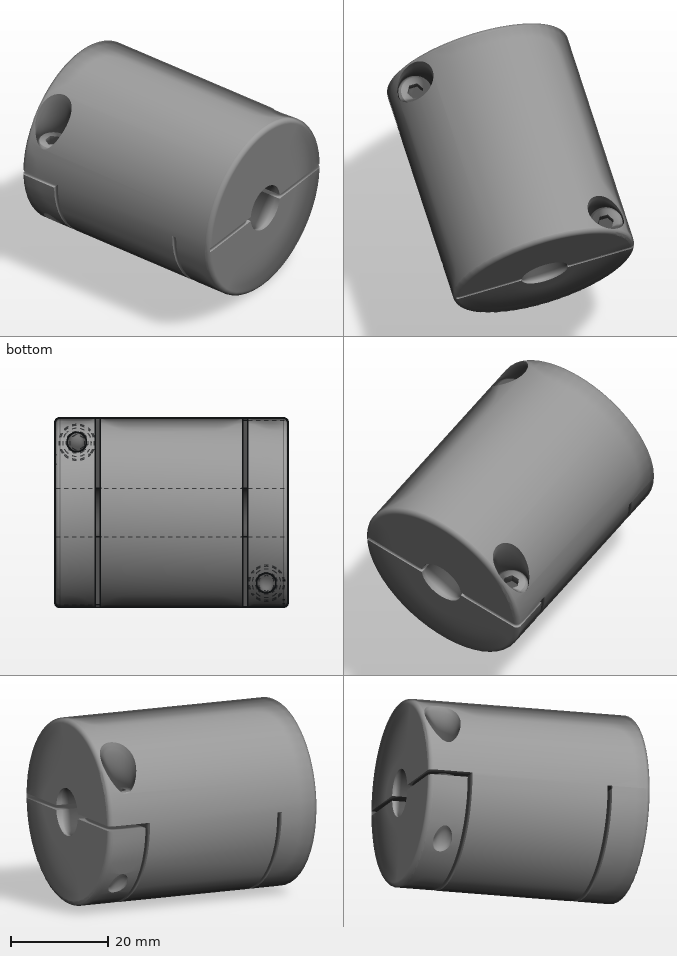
import cadquery as cq


LENGTH = 48.0
OUTER_DIAMETER = 39.0
BORE_DIAMETER = 10.0
END_FILLET = 1.0

SLOT_WIDTH = 1.0
RELIEF_END = 9.35
HINGE_WALL = 0.55

SCREW_FROM_END = 4.5
SCREW_OFFSET = 14.5
THREAD_DIAMETER = 4.0
HEAD_DIAMETER = 7.0
HEAD_HEIGHT = 4.0
HEAD_SEAT_Z = 3.0
HEAD_CHAMFER = 0.6
SHANK_LENGTH = 12.0
HEX_ACROSS_FLATS = 3.0
HEX_DEPTH = 2.0

CLEARANCE_DIAMETER = 4.5
COUNTERBORE_DIAMETER = 7.5

OUTER_RADIUS = OUTER_DIAMETER / 2
HALF_LENGTH = LENGTH / 2
END_ROTATIONS = (0, 180)
HEX_CIRCLE_DIAMETER = HEX_ACROSS_FLATS * 2 / 3 ** 0.5

SCREW_X = SCREW_FROM_END - HALF_LENGTH
SCREW_Y = -SCREW_OFFSET


def turned(shape, angle):
    """Turn a feature of the -X end about Z to place it at its own end."""
    return shape.rotate((0, 0, 0), (0, 0, 1), angle)


def screw_cylinder(diameter, bottom, height):
    """Cylinder on the screw axis, rising from the given Z."""
    return (
        cq.Workplane("XY", origin=(SCREW_X, SCREW_Y, bottom))
        .circle(diameter / 2)
        .extrude(height)
    )


def box_between(low, high):
    """Box given by two opposite corners."""
    size = [b - a for a, b in zip(low, high)]
    return cq.Workplane("XY").box(*size, centered=False).translate(low)


def clamp_slot():
    """Horizontal slot at the axis, open toward -Y and closed by the hinge wall at +Y."""
    return box_between(
        (-HALF_LENGTH, -OUTER_RADIUS, -SLOT_WIDTH / 2),
        (RELIEF_END - HALF_LENGTH, OUTER_RADIUS - HINGE_WALL, SLOT_WIDTH / 2),
    )


def relief_cut():
    """Cross cut through the lower half that frees the clamp from the rest of the body."""
    cut_end = RELIEF_END - HALF_LENGTH
    return box_between(
        (cut_end - SLOT_WIDTH, -OUTER_RADIUS, -OUTER_RADIUS),
        (cut_end, OUTER_RADIUS, 0),
    )


def screw_hole():
    """Counterbore and clearance hole above the slot, thread hole through the lower half."""
    thread_hole = screw_cylinder(THREAD_DIAMETER, -OUTER_RADIUS, OUTER_RADIUS)
    clearance_hole = screw_cylinder(CLEARANCE_DIAMETER, 0, HEAD_SEAT_Z)
    counterbore = screw_cylinder(COUNTERBORE_DIAMETER, HEAD_SEAT_Z, OUTER_RADIUS)
    return thread_hole.union(clearance_hole).union(counterbore)


def make_coupling():
    """Round body with a through bore and a clamp at each end."""
    end_plane = cq.Workplane("YZ", origin=(-HALF_LENGTH, 0, 0))
    cylinder = end_plane.circle(OUTER_RADIUS).extrude(LENGTH)
    bore = end_plane.circle(BORE_DIAMETER / 2).extrude(LENGTH)
    body = cylinder.faces("<X or >X").edges().fillet(END_FILLET).cut(bore)
    for angle in END_ROTATIONS:
        for feature in (clamp_slot(), relief_cut(), screw_hole()):
            body = body.cut(turned(feature, angle))
    return body


def make_screw():
    """Socket head cap screw of the clamp at the -X end."""
    head_top = HEAD_SEAT_Z + HEAD_HEIGHT
    blank = screw_cylinder(HEAD_DIAMETER, HEAD_SEAT_Z, HEAD_HEIGHT)
    head = blank.faces(">Z").edges().chamfer(HEAD_CHAMFER)
    shank = screw_cylinder(THREAD_DIAMETER, HEAD_SEAT_Z - SHANK_LENGTH, SHANK_LENGTH)
    hex_socket = (
        cq.Workplane("XY", origin=(SCREW_X, SCREW_Y, head_top - HEX_DEPTH))
        .transformed(rotate=(0, 0, 90))
        .polygon(6, HEX_CIRCLE_DIAMETER)
        .extrude(HEX_DEPTH)
    )
    return head.union(shank).cut(hex_socket)


coupling = make_coupling()
screws = [turned(make_screw(), angle) for angle in END_ROTATIONS]

result = cq.Compound.makeCompound([coupling.val(), *[screw.val() for screw in screws]])